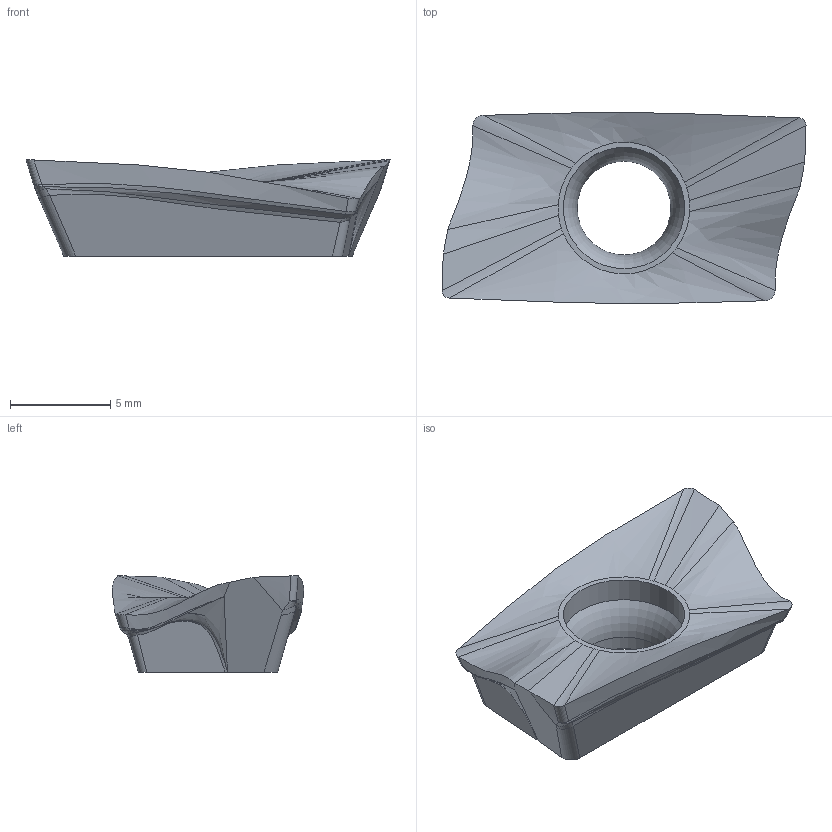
import cadquery as cq
import math


length = 18.18
height = 4.8
seat_half_width = 3.48
ring_height = 3.72
ring_outer_radius = 3.29
ring_inner_radius = 3.03
throat_radius = 2.34
seat_top = 2.5
throat_top = 0.7

side_relief = 0.282
end_relief = 0.397
end_skew = 0.106
end_flat_x = 6.903
recess_relief = 0.22

end_flat_foot_y = 2.8
end_flat_low_y = 0.97
recess_foot_y = 0.85
low_corner_foot = (6.71, -3.05)
low_side_foot_x = 6.22
high_side_foot_x = 6.6

corner_sagitta_ratio = (math.sqrt(2) - 1) / 2
foot_step = 0.08


def on_end_flat(y, z):
    return cq.Vector(end_flat_x + end_skew * y + end_relief * z, y, z)


recess_start = on_end_flat(end_flat_low_y, 0)
recess_skew = (recess_start.x - low_corner_foot[0]) / (end_flat_low_y - low_corner_foot[1])


def on_recess(y, z, clearance=0.0):
    x = recess_start.x + recess_skew * (y - end_flat_low_y) + recess_relief * z
    return cq.Vector(x + clearance, y, z)


def on_side(x, z, side):
    """Point of the lower long flank; side is -1 for -Y and +1 for +Y."""
    return cq.Vector(x, side * (seat_half_width + side_relief * z), z)


def turned(point):
    """The same point after a half turn about Z."""
    return cq.Vector(-point.x, -point.y, point.z)


def line(start, end):
    return cq.Edge.makeLine(start, end)


def curve(*points):
    return cq.Edge.makeSpline([cq.Vector(p) for p in points])


def corner_arc(start, end):
    """Quarter-like arc round a corner, travelled counterclockwise seen from above."""
    chord = end - start
    outward = cq.Vector(chord.y, -chord.x, 0)
    middle = (start + end) * 0.5 + outward * corner_sagitta_ratio
    return cq.Edge.makeThreePointArc(start, middle, end)


def ring_point(angle):
    turn = math.radians(angle)
    return cq.Vector(ring_outer_radius * math.cos(turn), ring_outer_radius * math.sin(turn), ring_height)


def ring_arc(start_angle, end_angle):
    middle = ring_point((start_angle + end_angle) / 2)
    return cq.Edge.makeThreePointArc(ring_point(start_angle), middle, ring_point(end_angle))


def flat_face(*edges):
    return cq.Face.makeFromWires(cq.Wire.assembleEdges(edges))


def polygon_face(*points):
    return cq.Face.makeFromWires(cq.Wire.makePolygon(points, close=True))


def ruled_strips(upper, lower):
    return [cq.Face.makeRuledSurface(a, b) for a, b in zip(upper, lower)]



edge_low_side = cq.Vector(7.0, -4.63, 2.88)
edge_low_end = cq.Vector(7.55, -4.12, 2.86)
edge_flat_low = on_end_flat(1.08, 4.48)
edge_flat_high = on_end_flat(2.3, 4.74)
edge_high_end = cq.Vector(length / 2, 4.12, height)
edge_high_side = cq.Vector(8.7, 4.5, height)

band_low_side = cq.Vector(6.9, -4.40, 2.22)
band_low_end = cq.Vector(7.35, -3.95, 2.2)
band_flat_low = on_end_flat(0.8, 3.77)
band_high_end = cq.Vector(8.71, 4.08, 3.55)
band_high_side = cq.Vector(8.3, 4.4, 3.57)

nose_low_side = cq.Vector(6.85, -4.32, 2.08)
nose_low_end = cq.Vector(7.31, -3.88, 2.1)
nose_high_side = cq.Vector(8.2, 4.4, 3.46)

foot_low_side = on_side(low_side_foot_x, 0, -1)
foot_low_end = cq.Vector(*low_corner_foot, 0)
foot_recess = on_recess(recess_foot_y, 0)
foot_flat_low = recess_start
foot_high_end = on_end_flat(end_flat_foot_y, 0)
foot_high_side = on_side(high_side_foot_x, 0, 1)

shelf_low_side = cq.Vector(6.68, -4.05, 1.86)
shelf_low_end = cq.Vector(7.18, -3.62, 1.98)
shelf_high_end = on_end_flat(3.72, 3.08)
shelf_high_side = cq.Vector(8.1, 4.39, 3.36)

wall_low_side = on_side(6.6, 1.68, -1)
wall_low_end = on_recess(-3.52, 1.85)
wall_high_end = shelf_high_end + (foot_high_end - shelf_high_end) * foot_step
wall_high_side = on_side(7.9, 3.04, 1)

edge_side = curve(
    turned(edge_high_side), (-5.2, -4.63, 4.66), (0, -4.78, 4.19),
    (3.7, -4.73, 3.53), (5.64, -4.68, 3.12), edge_low_side)
band_side = curve(
    turned(band_high_side), (-5.2, -4.52, 3.63), (0, -4.65, 3.15),
    (3.7, -4.55, 2.63), (5.64, -4.46, 2.36), band_low_side)
nose_side = curve(
    turned(nose_high_side), (-5.2, -4.49, 3.43), (0, -4.55, 2.94),
    (3.7, -4.46, 2.45), (5.64, -4.39, 2.2), nose_low_side)
shelf_side = curve(
    turned(shelf_high_side), (-5.2, -4.41, 3.23), (0, -4.28, 2.62),
    (3.7, -4.16, 2.17), shelf_low_side)
wall_side = curve(
    turned(wall_high_side), on_side(-5.2, 3.07, -1), on_side(0, 2.41, -1),
    on_side(3.7, 2.0, -1), wall_low_side)
foot_side = line(turned(foot_high_side), foot_low_side)

edge_end = curve(
    edge_low_end, (7.55, -3.43, 2.85), (7.7, -2.3, 3.06), (8.11, -0.76, 3.79),
    (8.43, 0.07, 4.2), edge_flat_low)
band_end = curve(
    band_low_end, (7.39, -2.9, 2.22), (7.54, -2.05, 2.55), (7.93, -0.77, 3.15), band_flat_low)
nose_end = curve(
    nose_low_end, (7.35, -2.9, 2.14), (7.5, -2.05, 2.46), (7.9, -0.77, 3.08), band_flat_low)
shelf_clearance = 0.04
shelf_end = curve(
    shelf_low_end, on_recess(-2.9, 2.12, shelf_clearance), on_recess(-1.77, 2.53, shelf_clearance),
    on_recess(-1.0, 2.58, shelf_clearance), on_recess(-0.22, 2.33, shelf_clearance),
    on_recess(0.4, 1.6, shelf_clearance), foot_flat_low)
wall_end = curve(
    wall_low_end, on_recess(-2.9, 2.0), on_recess(-1.77, 2.48), on_recess(-1.05, 2.54),
    on_recess(-0.34, 2.32), on_recess(0.23, 1.65), foot_recess)
foot_end = line(foot_low_end, foot_recess)


def top_faces():
    """Twisted chip surfaces running from the cutting edge down to the flat ring."""
    outline = [
        corner_arc(turned(edge_high_end), turned(edge_high_side)),
        edge_side,
        corner_arc(edge_low_side, edge_low_end),
        edge_end,
        line(edge_flat_low, edge_flat_high),
        line(edge_flat_high, edge_high_end),
    ]
    ring_angles = [-162, -157, -43, -37, -3, 6.5, 18]
    ring = [ring_arc(a, b) for a, b in zip(ring_angles, ring_angles[1:])]
    return ruled_strips(outline, ring)


def low_flank_faces():
    """Band, nose, shelf, blend and wall along the long side, the low corner and the sunken end."""
    edge = [edge_side, corner_arc(edge_low_side, edge_low_end), edge_end]
    band = [band_side, corner_arc(band_low_side, band_low_end), band_end]
    nose = [nose_side, corner_arc(nose_low_side, nose_low_end), nose_end]
    shelf = [shelf_side, corner_arc(shelf_low_side, shelf_low_end), shelf_end]
    wall = [wall_side, corner_arc(wall_low_side, wall_low_end), wall_end]
    foot = [foot_side, corner_arc(foot_low_side, foot_low_end)]
    levels = [edge, band, nose, shelf, wall]
    faces = [face for pair in zip(levels, levels[1:]) for face in ruled_strips(*pair)]
    recess_flat = flat_face(wall_end, foot_end, line(foot_low_end, wall_low_end))
    return faces + ruled_strips(wall, foot) + [recess_flat]


def high_flank_faces():
    """End flat, the facet above it and the raised corner."""
    end_flat = polygon_face(
        edge_flat_low, edge_flat_high, shelf_high_end, wall_high_end,
        foot_high_end, foot_flat_low, band_flat_low)
    facet = cq.Face.makeRuledSurface(
        line(edge_flat_high, edge_high_end), line(shelf_high_end, band_high_end))
    levels = [
        corner_arc(edge_high_end, edge_high_side),
        corner_arc(band_high_end, band_high_side),
        corner_arc(band_high_end, nose_high_side),
        corner_arc(shelf_high_end, shelf_high_side),
        corner_arc(wall_high_end, wall_high_side),
        corner_arc(foot_high_end, foot_high_side),
    ]
    return [end_flat, facet] + ruled_strips(levels, levels[1:])


def half_turn(shape):
    return shape.rotate(cq.Vector(0, 0, 0), cq.Vector(0, 0, 1), 180)


def bottom_face():
    half_outline = [
        foot_side,
        corner_arc(foot_low_side, foot_low_end),
        foot_end,
        line(foot_recess, foot_flat_low),
        line(foot_flat_low, foot_high_end),
        corner_arc(foot_high_end, foot_high_side),
    ]
    return flat_face(*half_outline, *[half_turn(edge) for edge in half_outline])


def ring_face():
    axis = cq.Vector(0, 0, 1)
    circle = cq.Edge.makeCircle(ring_outer_radius, cq.Vector(0, 0, ring_height), axis)
    return flat_face(circle)


def blank():
    half = top_faces() + low_flank_faces() + high_flank_faces()
    skin = half + [half_turn(face) for face in half] + [bottom_face(), ring_face()]
    return cq.Workplane(obj=cq.Solid.makeSolid(cq.Shell.makeShell(skin)))


def screw_hole():
    """Cylinder, rounded screw seat running tangentially into the throat, and cylindrical throat."""
    seat_step = ring_inner_radius - throat_radius
    seat_rise = seat_top - throat_top
    seat_radius = (seat_step**2 + seat_rise**2) / (2 * seat_step)
    half_sweep = math.asin(seat_rise / seat_radius) / 2
    seat_middle = (
        throat_radius + seat_radius * (1 - math.cos(half_sweep)),
        throat_top + seat_radius * math.sin(half_sweep))
    return (
        cq.Workplane("XZ")
        .lineTo(throat_radius, 0)
        .lineTo(throat_radius, throat_top)
        .threePointArc(seat_middle, (ring_inner_radius, seat_top))
        .lineTo(ring_inner_radius, height)
        .lineTo(0, height)
        .close()
        .revolve(360, (0, 0, 0), (0, 1, 0))
    )


result = blank().cut(screw_hole()).solids()